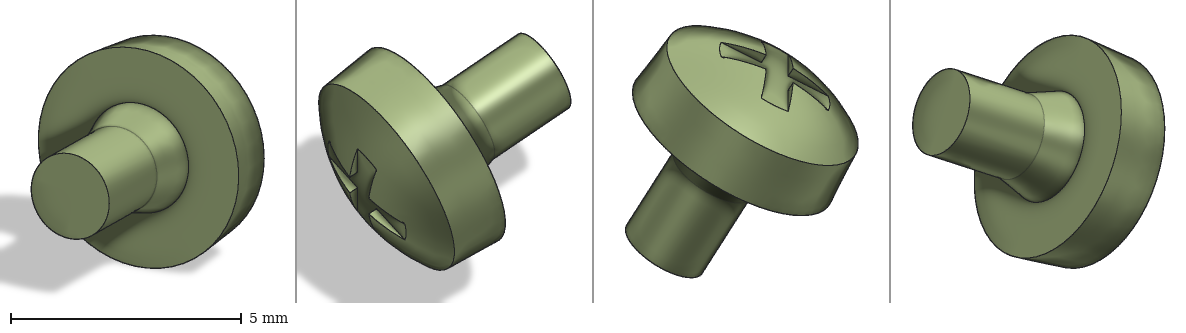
import cadquery as cq
import math

total_length = 5.07
head_radius = 2.5
rim_top_radius = 2.39
rim_height = 1.32
shank_length = 3.0
shank_radius = 0.975
neck_radius = head_radius / 2
neck_length = 0.9
slot_width = 0.67
slot_depth = 0.215

tip_y = -shank_length
neck_y = -neck_length
head_top_y = total_length - shank_length

corner_radius = slot_width / math.sqrt(2)
corner_rise = head_top_y - rim_height
dome_center_drop = (
    rim_top_radius**2 - corner_radius**2 - corner_rise**2
) / (2 * corner_rise)
dome_radius = math.hypot(rim_top_radius, dome_center_drop)
dome_center_y = rim_height - dome_center_drop
crown_y = dome_center_y + dome_radius
dome_mid_radius = rim_top_radius / 2
dome_mid_y = dome_center_y + math.sqrt(dome_radius**2 - dome_mid_radius**2)


def revolved_body():
    """Shank, conical neck, tapered rim and dome as one revolved profile."""
    profile = (
        cq.Workplane("XY")
        .moveTo(0, tip_y)
        .lineTo(shank_radius, tip_y)
        .lineTo(shank_radius, neck_y)
        .lineTo(neck_radius, 0)
        .lineTo(head_radius, 0)
        .lineTo(rim_top_radius, rim_height)
        .threePointArc((dome_mid_radius, dome_mid_y), (0, crown_y))
        .close()
    )
    return profile.revolve(360, (0, 0, 0), (0, 1, 0))


def slot_cutter(angle):
    """Straight slot across the whole head, turned about the screw axis."""
    floor_y = head_top_y - slot_depth
    cutter_height = crown_y - floor_y + slot_depth
    return (
        cq.Workplane("XY")
        .box(2 * head_radius, cutter_height, slot_width)
        .translate((0, floor_y + cutter_height / 2, 0))
        .rotate((0, 0, 0), (0, 1, 0), angle)
    )


result = revolved_body()
for slot_angle in (0, 90):
    result = result.cut(slot_cutter(slot_angle))